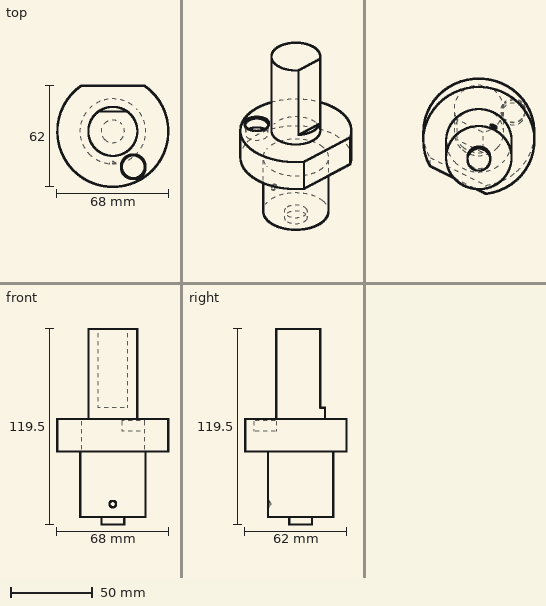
import cadquery as cq
import math

FLANGE_DIAMETER = 68
FLANGE_THICKNESS = 20
FLANGE_FLAT_Y = 28

SHANK_DIAMETER = 29.99
SHANK_LENGTH = 55
SHANK_FLAT_Y = 12
SHANK_FOOT_HEIGHT = 7

BARREL_DIAMETER = 40
BARREL_LENGTH = 40
PILOT_DIAMETER = 14
PILOT_LENGTH = 4.5

POCKET_DIAMETER = 14.01
POCKET_DEPTH = 7.5
POCKET_CHAMFER_DEPTH = 1
POCKET_CHAMFER_WIDTH = POCKET_CHAMFER_DEPTH * math.tan(math.radians(30))
POCKET_PITCH_RADIUS = 25
POCKET_ANGLE = math.radians(-60)

SPOT_DIAMETER = 4
SPOT_CYLINDER_DEPTH = 0.7
SPOT_TIP_ANGLE = math.radians(120)
SPOT_HEIGHT = 8


def cylinder(diameter, bottom_z, height):
    return cq.Workplane("XY").workplane(offset=bottom_z).circle(diameter / 2).extrude(height)


def flat_cutter(diameter, flat_y, bottom_z, height):
    """Block that removes everything beyond flat_y from a disc on the Z axis."""
    depth = diameter / 2
    block = cq.Workplane("XY").box(diameter, depth, height, centered=(True, False, False))
    return block.translate((0, flat_y, bottom_z))


def flange():
    disc = cylinder(FLANGE_DIAMETER, 0, FLANGE_THICKNESS)
    return disc.cut(flat_cutter(FLANGE_DIAMETER, FLANGE_FLAT_Y, 0, FLANGE_THICKNESS))


def shank():
    rod = cylinder(SHANK_DIAMETER, FLANGE_THICKNESS, SHANK_LENGTH)
    flat_bottom = FLANGE_THICKNESS + SHANK_FOOT_HEIGHT
    flat_length = SHANK_LENGTH - SHANK_FOOT_HEIGHT
    return rod.cut(flat_cutter(SHANK_DIAMETER, SHANK_FLAT_Y, flat_bottom, flat_length))


def barrel():
    body = cylinder(BARREL_DIAMETER, -BARREL_LENGTH, BARREL_LENGTH)
    pilot = cylinder(PILOT_DIAMETER, -BARREL_LENGTH - PILOT_LENGTH, PILOT_LENGTH)
    return body.union(pilot)


def pocket_cutter():
    """Revolved shape of the pocket with its chamfered mouth."""
    radius = POCKET_DIAMETER / 2
    profile = (
        cq.Workplane("XZ")
        .moveTo(0, 0)
        .lineTo(radius + POCKET_CHAMFER_WIDTH, 0)
        .lineTo(radius, -POCKET_CHAMFER_DEPTH)
        .lineTo(radius, -POCKET_DEPTH)
        .lineTo(0, -POCKET_DEPTH)
        .close()
    )
    center_x = POCKET_PITCH_RADIUS * math.cos(POCKET_ANGLE)
    center_y = POCKET_PITCH_RADIUS * math.sin(POCKET_ANGLE)
    return profile.revolve(360, (0, 0), (0, 1)).translate((center_x, center_y, FLANGE_THICKNESS))


def drill_spot_cutter():
    """Drill shape entering the barrel along +Y: a short cylinder and a cone tip."""
    radius = SPOT_DIAMETER / 2
    tip_depth = SPOT_CYLINDER_DEPTH + radius / math.tan(SPOT_TIP_ANGLE / 2)
    profile = (
        cq.Workplane("XY")
        .moveTo(0, 0)
        .lineTo(radius, 0)
        .lineTo(radius, SPOT_CYLINDER_DEPTH)
        .lineTo(0, tip_depth)
        .close()
    )
    spot_z = -BARREL_LENGTH + SPOT_HEIGHT
    return profile.revolve(360, (0, 0), (0, 1)).translate((0, -BARREL_DIAMETER / 2, spot_z))


result = flange().union(shank()).union(barrel()).cut(pocket_cutter()).cut(drill_spot_cutter())